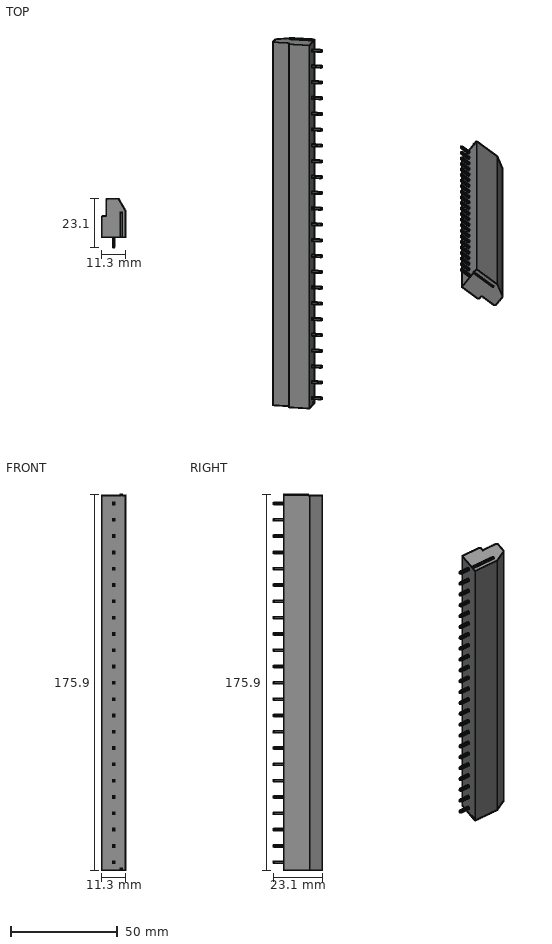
import cadquery as cq

total_height = 175.9
rib_height = 0.62
body_height = total_height - rib_height
body_width = 11.3
body_depth = 18.1

step_width = 2.1
step_depth = 8.1
step_rounding = 0.9

slope_width = 3.3
slope_depth = 5.8

dovetail_narrow_width = 0.5
dovetail_wide_width = 1.0
dovetail_center_x = 9.1
dovetail_length = 11.6
groove_depth = 0.9

pin_count = 23
pin_pitch = body_height / pin_count
pin_length = 5.0
pin_width = 0.9
pin_height = 1.0
pin_center_x = body_width / 2
pin_tip_length = 0.5
pin_tip_scale = 0.5
pin_embed = 0.9


def make_housing():
    shelf_y = body_depth - step_depth
    profile = [
        (0, 0),
        (body_width, 0),
        (body_width, body_depth - slope_depth),
        (body_width - slope_width, body_depth),
        (step_width, body_depth),
        (step_width, shelf_y),
        (0, shelf_y),
    ]
    housing = cq.Workplane("XY").polyline(profile).close().extrude(body_height)
    for corner_x, corner_y in [(step_width, body_depth), (0, shelf_y)]:
        edge_middle = (corner_x, corner_y, body_height / 2)
        housing = housing.edges(cq.NearestToPointSelector(edge_middle)).fillet(step_rounding)
    return housing


def make_dovetail(base_z, height):
    """Strip along Y from the front face, wider at its top than at its base."""
    top_z = base_z + height
    section = [
        (dovetail_center_x - dovetail_narrow_width / 2, base_z),
        (dovetail_center_x + dovetail_narrow_width / 2, base_z),
        (dovetail_center_x + dovetail_wide_width / 2, top_z),
        (dovetail_center_x - dovetail_wide_width / 2, top_z),
    ]
    return cq.Workplane("XZ").polyline(section).close().extrude(-dovetail_length)


def make_pin(center_z):
    """Rectangular pin pointing to -Y, rooted in the housing, with a tapered tip."""
    shank_length = pin_length - pin_tip_length
    shank = (
        cq.Workplane("XZ", origin=(pin_center_x, pin_embed, center_z))
        .rect(pin_width, pin_height)
        .extrude(pin_embed + shank_length)
    )
    tip = (
        cq.Workplane("XZ", origin=(pin_center_x, -shank_length, center_z))
        .rect(pin_width, pin_height)
        .workplane(offset=pin_tip_length)
        .rect(pin_width * pin_tip_scale, pin_height * pin_tip_scale)
        .loft(ruled=True)
    )
    return shank.union(tip)


result = make_housing()
result = result.union(make_dovetail(body_height, rib_height))
result = result.cut(make_dovetail(0, groove_depth))
for index in range(pin_count):
    result = result.union(make_pin((index + 0.5) * pin_pitch))